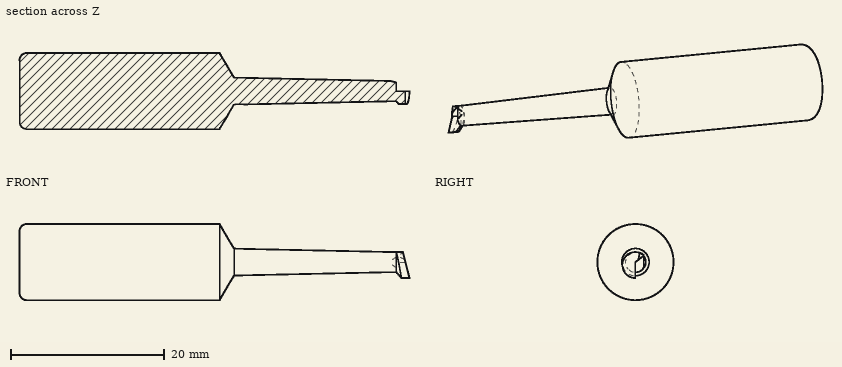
import cadquery as cq

total_length = 51.0
shank_radius = 5.0
shank_length = 26.15
end_round = 0.95
cone_end = 28.05
neck_root_radius = 1.8
neck_tip_radius = 1.35
neck_end = 49.25

head_drop = 2.1
head_top_x = 50.15
flare_length = 0.65
flare_radius = 2.1
head_radius = (head_drop + neck_tip_radius) / 2
head_center_z = (neck_tip_radius - head_drop) / 2

relief_reach = 2.2
relief_height = 1.7
corner_start = (48.15, 1.4)
corner_middle = (49.55, 0.95)
corner_end = (50.45, 0.3)


def make_body():
    """Shank, cone and tapered neck turned about the X axis."""
    body = (
        cq.Workplane("XY")
        .lineTo(0, shank_radius)
        .lineTo(shank_length, shank_radius)
        .lineTo(cone_end, neck_root_radius)
        .lineTo(neck_end, neck_tip_radius)
        .lineTo(neck_end, 0)
        .close()
        .revolve(360, (0, 0, 0), (1, 0, 0))
    )
    return body.faces("<X").edges().fillet(end_round)


def make_head():
    """Round head with a conical back, a slanted front and a relieved +Y side."""
    flare_end = neck_end + flare_length
    flared_blank = (
        cq.Workplane("XY")
        .moveTo(neck_end, 0)
        .lineTo(neck_end, neck_tip_radius)
        .lineTo(flare_end, flare_radius)
        .lineTo(total_length, flare_radius)
        .lineTo(total_length, 0)
        .close()
        .revolve(360, (0, 0, 0), (1, 0, 0))
    )
    slanted_plate = (
        cq.Workplane("XZ")
        .moveTo(neck_end, neck_tip_radius)
        .lineTo(head_top_x, neck_tip_radius)
        .lineTo(total_length, -head_drop)
        .lineTo(neck_end, -head_drop)
        .close()
        .extrude(shank_radius, both=True)
    )
    round_end = (
        cq.Workplane("YZ", origin=(neck_end, 0, 0))
        .center(0, head_center_z)
        .circle(head_radius)
        .extrude(total_length - neck_end)
    )
    slope = relief_height / relief_reach
    relief = (
        cq.Workplane("YZ", origin=(neck_end, 0, 0))
        .lineTo(shank_radius, slope * shank_radius)
        .lineTo(shank_radius, -shank_radius)
        .lineTo(0, -shank_radius)
        .close()
        .extrude(total_length - neck_end)
    )
    return flared_blank.intersect(slanted_plate).intersect(round_end).cut(relief)


def corner_clearance():
    """Cutter that rounds off the +Y side where the neck meets the head."""
    return (
        cq.Workplane("XY")
        .moveTo(*corner_start)
        .threePointArc(corner_middle, corner_end)
        .lineTo(corner_end[0], shank_radius)
        .lineTo(corner_start[0], shank_radius)
        .close()
        .extrude(shank_radius, both=True)
    )


result = make_body().union(make_head()).cut(corner_clearance())